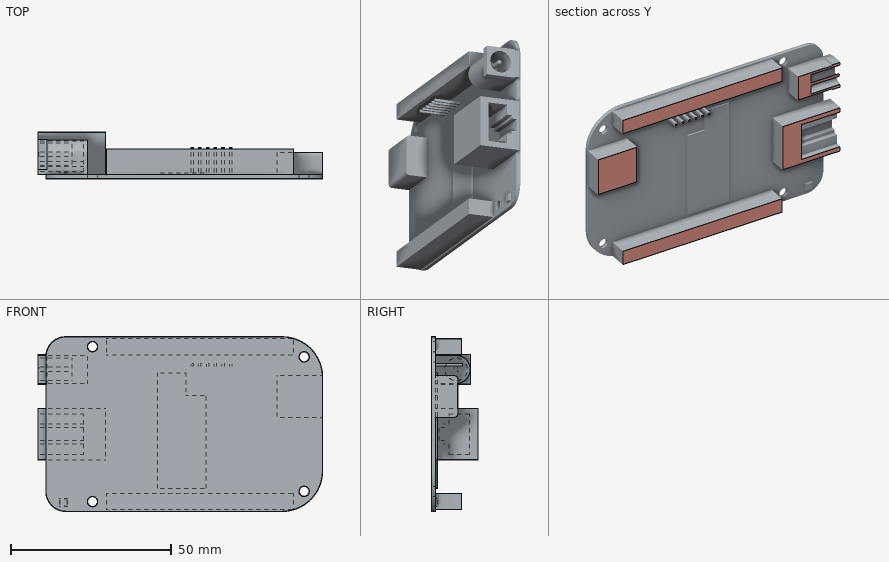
import cadquery as cq


total_length = 88.9
board_left = 2.5
board_height = 54.6
board_thickness = 1.3
small_corner_radius = 6.3
large_corner_radius = 12.7
hole_diameter = 3.1
left_hole_x = 17.1
left_hole_inset = 3.1
right_hole_x = 83.1
right_hole_inset = 6.3

header_start = 21.4
header_length = 58.4
header_width = 5.1
header_depth = 8.1
header_inset = 0.6

socket_length = 21.2
socket_width = 16.1
socket_depth = 13.25
socket_mid_z = 24.2
socket_cavity_length = 14.2
socket_steps = [(12.6, 5.5, 11.9), (6.1, 3.9, 5.5), (4.0, 2.3, 3.9)]

jack_mid_z = 44.4
jack_length = 15.6
jack_barrel_diameter = 8.7
jack_axis_y = 7.7
jack_flange_width = 9.3
jack_flange_length = 2.9
jack_flange_bottom = 2.9
jack_flange_top = 12.3
jack_bore_diameter = 7.0
jack_bore_length = 10.7
jack_pin_diameter = 1.4
jack_pin_recess = 0.2

usb_length = 14.2
usb_width = 13.0
usb_depth = 6.9
usb_mid_z = 35.9
usb_edge_radius = 1.1

serial_pin_count = 6
serial_pin_pitch = 2.4
serial_pin_start = 48.2
serial_pin_width = 0.8
serial_pin_depth = 8.45
serial_pin_z = 45.8

chip_depth = 0.5
chip_joint_z = 36.2
chip_start = 37.3
processor_length = 15.1
processor_bottom = 7.2
memory_length = 8.9
memory_top = 43.3

button_mid_x = 8.0
button_mid_z = 2.85
button_base_width = 2.5
button_base_depth = 0.5
button_cap_width = 2.1
button_cap_depth = 0.3


def block(x_start, x_end, y_start, y_end, z_start, z_end):
    """Box between the given limits."""
    box = cq.Workplane("XY").box(x_end - x_start, y_end - y_start, z_end - z_start, centered=False)
    return box.translate((x_start, y_start, z_start))


def part_on_board(x_start, length, depth, mid_z, width):
    """Box standing on the component side of the board, centred on mid_z."""
    return block(
        x_start, x_start + length,
        board_thickness, board_thickness + depth,
        mid_z - width / 2, mid_z + width / 2,
    )


def rod(x_start, length, y, z, diameter):
    """Cylinder running along +X."""
    return cq.Workplane("YZ", origin=(x_start, y, z)).circle(diameter / 2).extrude(length)


def make_board():
    board = block(board_left, total_length, 0, board_thickness, 0, board_height)
    board = board.edges("|Y and <X").fillet(small_corner_radius)
    board = board.edges("|Y and >X").fillet(large_corner_radius)
    hole_centers = []
    for x, inset in ((left_hole_x, left_hole_inset), (right_hole_x, right_hole_inset)):
        hole_centers += [(x, inset), (x, board_height - inset)]
    holes = (
        cq.Workplane("XZ").pushPoints(hole_centers)
        .circle(hole_diameter / 2).extrude(-board_thickness)
    )
    return board.cut(holes)


def make_headers():
    lower_mid_z = header_inset + header_width / 2
    lower = part_on_board(header_start, header_length, header_depth, lower_mid_z, header_width)
    upper_mid_z = board_height - lower_mid_z
    upper = part_on_board(header_start, header_length, header_depth, upper_mid_z, header_width)
    return [lower, upper]


def make_network_socket():
    socket = part_on_board(0, socket_length, socket_depth, socket_mid_z, socket_width)
    for width, bottom, top in socket_steps:
        half = width / 2
        socket = socket.cut(
            block(0, socket_cavity_length, bottom, top, socket_mid_z - half, socket_mid_z + half)
        )
    return socket


def make_power_jack():
    base_depth = jack_axis_y - board_thickness
    jack = part_on_board(0, jack_length, base_depth, jack_mid_z, jack_barrel_diameter)
    jack = jack.union(rod(0, jack_length, jack_axis_y, jack_mid_z, jack_barrel_diameter))
    half = jack_flange_width / 2
    flange = block(
        0, jack_flange_length, jack_flange_bottom, jack_flange_top,
        jack_mid_z - half, jack_mid_z + half,
    )
    jack = jack.union(flange)
    jack = jack.cut(rod(0, jack_bore_length, jack_axis_y, jack_mid_z, jack_bore_diameter))
    pin_radius = jack_pin_diameter / 2
    nose_x = jack_pin_recess + pin_radius
    pin = rod(nose_x, jack_length - nose_x, jack_axis_y, jack_mid_z, jack_pin_diameter)
    nose = cq.Workplane("XY").sphere(pin_radius).translate((nose_x, jack_axis_y, jack_mid_z))
    return jack.union(pin).union(nose)


def make_usb_socket():
    usb = part_on_board(total_length - usb_length, usb_length, usb_depth, usb_mid_z, usb_width)
    return usb.edges("|X and >Y").fillet(usb_edge_radius)


def make_serial_pins():
    pins = []
    for index in range(serial_pin_count):
        x_start = serial_pin_start + index * serial_pin_pitch - serial_pin_width / 2
        pins.append(
            part_on_board(x_start, serial_pin_width, serial_pin_depth, serial_pin_z, serial_pin_width)
        )
    return pins


def make_chips():
    chip_top = board_thickness + chip_depth
    processor = block(
        chip_start, chip_start + processor_length,
        board_thickness, chip_top, processor_bottom, chip_joint_z,
    )
    memory = block(
        chip_start, chip_start + memory_length,
        board_thickness, chip_top, chip_joint_z, memory_top,
    )
    return [processor, memory]


def make_button():
    base_start = button_mid_x - button_base_width / 2
    base = part_on_board(
        base_start, button_base_width, button_base_depth, button_mid_z, button_base_width
    )
    cap_start = button_mid_x - button_cap_width / 2
    cap_reach = button_base_depth + button_cap_depth
    cap = part_on_board(cap_start, button_cap_width, cap_reach, button_mid_z, button_cap_width)
    return base.union(cap)


components = [make_network_socket(), make_power_jack(), make_usb_socket(), make_button()]
components += make_headers() + make_serial_pins() + make_chips()

result = make_board()
for component in components:
    result = result.union(component)